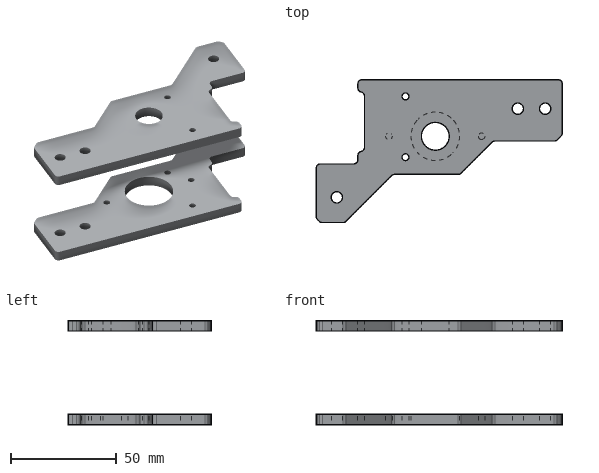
import cadquery as cq
import math

length = 116.7
width = 67.8
thickness = 5.0
stack_height = 49.4

foot_depth = 27.9
body_left = 19.7
body_front = 22.9
arm_front = 38.6
foot_slope_x = 13.5
arm_slope_x = 68.2
foot_chamfer = 2.1
arm_chamfer = 3.0
corner_radius = 2.0

recess_depth = 3.2
recess_start = 31.9
recess_end = 63.9

mount_diameter = 5.3
mount_points = [(9.8, 12.0), (95.6, 54.0), (108.6, 54.0)]
screw_diameter = 3.2
screw_x = 42.4
screw_points = [(screw_x, 31.0), (screw_x, 59.9)]
bore_center = (56.5, 41.0)
upper_bore_diameter = 13.1
lower_bore_diameter = 23.0
flange_screw_offset = 22.0
flange_screw_points = [
    (bore_center[0] - flange_screw_offset, bore_center[1]),
    (bore_center[0] + flange_screw_offset, bore_center[1]),
]


def sharp_blank():
    """Plate with 45 degree slopes and every corner still sharp."""
    foot_slope_end = foot_slope_x + body_front
    arm_slope_end = arm_slope_x + arm_front - body_front
    outline = [
        (foot_chamfer, 0),
        (foot_slope_x, 0),
        (foot_slope_end, body_front),
        (arm_slope_x, body_front),
        (arm_slope_end, arm_front),
        (length - arm_chamfer, arm_front),
        (length, arm_front + arm_chamfer),
        (length, width),
        (body_left, width),
        (body_left, foot_depth),
        (0, foot_depth),
        (0, foot_chamfer),
    ]
    return cq.Workplane("XY").polyline(outline).close().extrude(thickness)


def recess_cutter():
    """Recess whose ends are pairs of equal tangent arcs of the corner radius."""
    sweep = math.acos(1 - recess_depth / (2 * corner_radius))
    half_rise = corner_radius * math.sin(sweep)
    floor_x = body_left + recess_depth
    middle_x = body_left + recess_depth / 2
    arc_sag_x = corner_radius * (1 - math.cos(sweep / 2))
    arc_sag_y = corner_radius * math.sin(sweep / 2)
    floor_start = recess_start + 2 * half_rise
    floor_end = recess_end - 2 * half_rise
    return (
        cq.Workplane("XY")
        .moveTo(body_left, recess_start)
        .threePointArc((body_left + arc_sag_x, recess_start + arc_sag_y),
                       (middle_x, recess_start + half_rise))
        .threePointArc((floor_x - arc_sag_x, floor_start - arc_sag_y), (floor_x, floor_start))
        .lineTo(floor_x, floor_end)
        .threePointArc((floor_x - arc_sag_x, floor_end + arc_sag_y),
                       (middle_x, recess_end - half_rise))
        .threePointArc((body_left + arc_sag_x, recess_end - arc_sag_y), (body_left, recess_end))
        .close()
        .extrude(thickness)
    )


def drill(plate, points, diameter):
    """Through holes at the given points."""
    return plate.cut(cq.Workplane("XY").pushPoints(points).circle(diameter / 2).extrude(thickness))


def common_plate():
    """Everything the two plates share."""
    plate = sharp_blank().edges("|Z").fillet(corner_radius)
    plate = plate.cut(recess_cutter())
    plate = drill(plate, mount_points, mount_diameter)
    return drill(plate, screw_points, screw_diameter)


def make_lower_plate():
    """Plate with the wide bore and a screw hole on either side of it."""
    plate = drill(common_plate(), [bore_center], lower_bore_diameter)
    return drill(plate, flange_screw_points, screw_diameter)


def make_upper_plate():
    """Plate with the narrow bore, at the top of the stack."""
    plate = drill(common_plate(), [bore_center], upper_bore_diameter)
    return plate.translate((0, 0, stack_height - thickness))


lower_plate = make_lower_plate()
upper_plate = make_upper_plate()

result = cq.Compound.makeCompound([lower_plate.val(), upper_plate.val()])